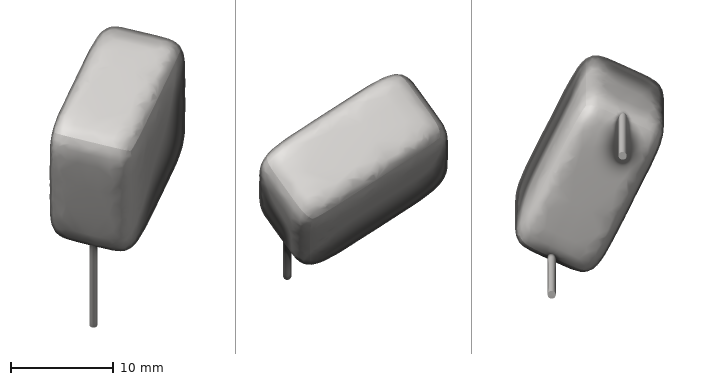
import cadquery as cq

CASE_THICKNESS = 9.5
CASE_WIDTH = 18.0
CASE_HEIGHT = 16.0
LEAD_DIAMETER = 0.8
LEAD_PITCH = 16.0
LEAD_LENGTH_BELOW_CASE = 10.0
LEAD_DEPTH_IN_CASE = 2.0
LEAD_OFFSET = 0.25

ROUNDING_EXPONENT = 6
GRID_STEPS = 32
LOWEST_DEGREE = 3
HIGHEST_DEGREE = 6
SURFACE_TOLERANCE = 1e-5
SEAM_TOLERANCE = 1e-4


def unit_point(u, v):
    """Point on the top face of the rounded block with half sizes of 1, for u and v from -1 to 1."""
    shrink = (1 + abs(u) ** ROUNDING_EXPONENT + abs(v) ** ROUNDING_EXPONENT) ** (-1 / ROUNDING_EXPONENT)
    return cq.Vector(u * shrink, v * shrink, shrink)


def make_unit_face():
    """The curved top face of the unit block, which meets its neighbours along |x| = z and |y| = z."""
    steps = [2 * i / GRID_STEPS - 1 for i in range(GRID_STEPS + 1)]
    grid = [[unit_point(u, v) for v in steps] for u in steps]
    return cq.Face.makeSplineApprox(grid, tol=SURFACE_TOLERANCE, minDeg=LOWEST_DEGREE, maxDeg=HIGHEST_DEGREE)


def make_case():
    """Rounded block closed by six turned copies of one face, then stretched to size."""
    origin = cq.Vector(0, 0, 0)
    x_axis = cq.Vector(1, 0, 0)
    y_axis = cq.Vector(0, 1, 0)
    top = make_unit_face()
    faces = [top.rotate(origin, x_axis, angle) for angle in (0, 90, 180, 270)]
    faces += [top.rotate(origin, y_axis, angle) for angle in (90, 270)]
    unit_block = cq.occ_impl.shapes.solid(*faces, tol=SEAM_TOLERANCE)

    stretch = cq.Matrix(
        [
            [CASE_THICKNESS / 2, 0, 0, -LEAD_OFFSET],
            [0, CASE_WIDTH / 2, 0, 0],
            [0, 0, CASE_HEIGHT / 2, CASE_HEIGHT / 2],
        ]
    )
    return cq.Workplane(unit_block.transformGeometry(stretch))


def make_lead(y):
    """Straight round lead that ends inside the case."""
    return (
        cq.Workplane("XY", origin=(0, y, -LEAD_LENGTH_BELOW_CASE))
        .circle(LEAD_DIAMETER / 2)
        .extrude(LEAD_LENGTH_BELOW_CASE + LEAD_DEPTH_IN_CASE)
    )


leads = [make_lead(side * LEAD_PITCH / 2) for side in (-1, 1)]

case = make_case()
for lead in leads:
    case = case.cut(lead)

result = cq.Compound.makeCompound([case.solids().val(), *[lead.val() for lead in leads]])